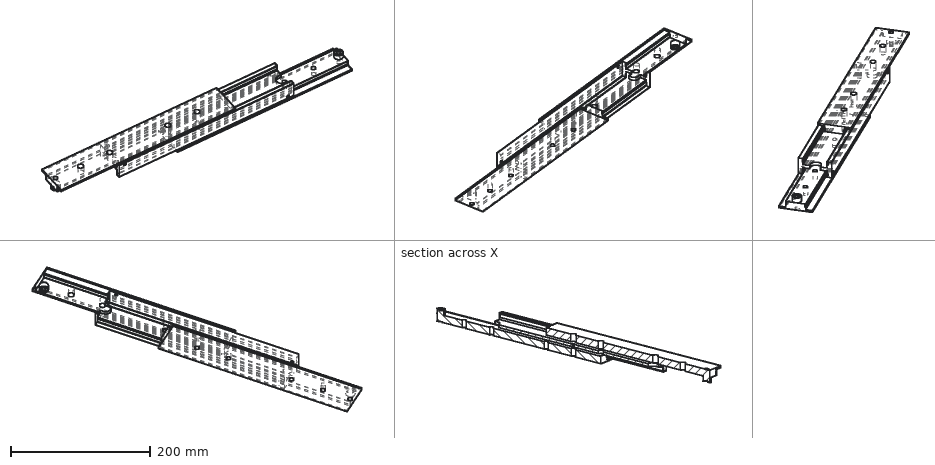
import cadquery as cq
width = 50.0
total_height = 34.0
total_length = 500.0
member_length = 300.0

flange_thickness = 3.0
boss_width = 30.0
boss_gap = 10.0
upper_mount_hole_diameter = 8.5
lower_mount_hole_diameter = 6.5
mount_hole_places = (-200.0, -150.0, -50.0, 0.0)

stop_diameter = 13.5
stop_height = 7.5
stop_recess_diameter = 11.0
stop_recess_depth = 0.5
centre_mark_diameter = 5.5
centre_mark_depth = 1.5
stop_seat_diameter = 6.5
stop_seat_depth = 0.5

ball_diameter = 6.0
track_z = 8.5
track_end_wall = 0.5

carriage_height = 25.0
channel_width = 36.0
web_thickness = 5.0
wall_edge_chamfer = 0.5
notch_width = 16.0
notch_depth = 13.0
pin_hole_diameter = 4.0
pin_hole_y = 140.0
access_hole_y = -50.0
access_hole_diameter = upper_mount_hole_diameter
centre_hole_diameter = 2.0

half_height = total_height / 2
boss_face_z = boss_gap / 2
rail_start_y = -total_length / 2
stop_y = rail_start_y + stop_diameter / 2
carriage_end_y = member_length / 2
track_x = (boss_width + channel_width) / 4


def block(size_x, start_y, length, bottom_z, top_z):
    """Box centred on X, running from start_y along +Y."""
    corner = cq.Workplane("XY", origin=(0, start_y, bottom_z))
    return corner.box(size_x, length, top_z - bottom_z, centered=(True, False, False))


def cylinder(diameter, y, bottom_z, top_z):
    """Upright cylinder on the centre plane of the slide."""
    return cq.Workplane("XY", origin=(0, y, bottom_z)).circle(diameter / 2).extrude(top_z - bottom_z)


def ball_track(x, z, start_y):
    """Round bar along Y that cuts one ball track, stopping short of both ends of its member."""
    track_length = member_length - 2 * track_end_wall
    track_start = cq.Workplane("XZ", origin=(x, start_y + track_end_wall, z))
    return track_start.circle(ball_diameter / 2).extrude(-track_length)


def stop_screw():
    """Hanging stop head with a shallow recess and a conical centre mark in its lower face."""
    bottom_z = boss_face_z - stop_height
    recess_z = bottom_z + stop_recess_depth
    centre_mark = cq.Solid.makeCone(
        centre_mark_diameter / 2, 0, centre_mark_depth, pnt=cq.Vector(0, stop_y, recess_z)
    )
    return (
        cylinder(stop_diameter, stop_y, bottom_z, boss_face_z)
        .cut(cylinder(stop_recess_diameter, stop_y, bottom_z, recess_z))
        .cut(cq.Workplane("XY").add(centre_mark))
    )


def make_rail(mount_hole_diameter):
    """Flanged rail in the upper place, with its boss and stop screw pointing down."""
    flange_bottom_z = half_height - flange_thickness
    rail = block(width, rail_start_y, member_length, flange_bottom_z, half_height)
    rail = rail.union(block(boss_width, rail_start_y, member_length, boss_face_z, flange_bottom_z))
    for side in (-1, 1):
        rail = rail.cut(ball_track(side * track_x, track_z, rail_start_y))
    for y in mount_hole_places:
        rail = rail.cut(cylinder(mount_hole_diameter, y, boss_face_z, half_height))
    rail = rail.union(stop_screw())
    return rail.cut(cylinder(stop_seat_diameter, stop_y, half_height - stop_seat_depth, half_height))


def end_notch():
    """Round-bottomed opening in the web at the +Y end."""
    centre_y = carriage_end_y - notch_depth + notch_width / 2
    half_web = web_thickness / 2
    straight = block(notch_width, centre_y, carriage_end_y - centre_y, -half_web, half_web)
    return straight.union(cylinder(notch_width, centre_y, -half_web, half_web))


def make_carriage():
    """H-shaped slide member with a ball track on every inner wall face."""
    half_web = web_thickness / 2
    half_carriage = carriage_height / 2
    carriage = block(width, -carriage_end_y, member_length, -half_carriage, half_carriage)
    carriage = carriage.cut(block(channel_width, -carriage_end_y, member_length, half_web, half_carriage))
    carriage = carriage.cut(block(channel_width, -carriage_end_y, member_length, -half_carriage, -half_web))
    carriage = carriage.edges("|Y and (<X or >X)").chamfer(wall_edge_chamfer)

    for x in (-track_x, track_x):
        for z in (-track_z, track_z):
            carriage = carriage.cut(ball_track(x, z, -carriage_end_y))

    notch = end_notch()
    carriage = carriage.cut(notch).cut(notch.mirror("XZ"))
    carriage = carriage.cut(cylinder(access_hole_diameter, access_hole_y, -half_web, half_web))
    carriage = carriage.cut(cylinder(centre_hole_diameter, 0, -half_web, half_web))

    for end in (-1, 1):
        pin_hole = (
            cq.Workplane("YZ", origin=(-width / 2, end * pin_hole_y, -end * track_z))
            .circle(pin_hole_diameter / 2)
            .extrude(width)
        )
        carriage = carriage.cut(pin_hole)
    return carriage


upper_rail = make_rail(upper_mount_hole_diameter)
lower_rail = make_rail(lower_mount_hole_diameter).rotate((0, 0, 0), (1, 0, 0), 180)
carriage = make_carriage()

result = cq.Compound.makeCompound([upper_rail.val(), lower_rail.val(), carriage.val()])